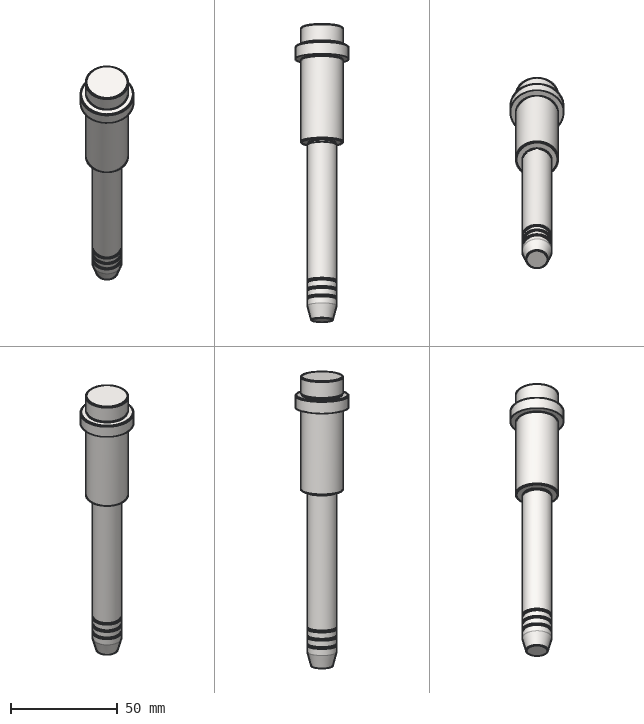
import cadquery as cq

total_height = 140.0
collar_diameter = 25.0
body_diameter = 20.0
pin_diameter = 14.0
tip_diameter = 10.2

collar_height = 6.0
collar_bottom = 125.0
collar_top = collar_bottom + collar_height
body_bottom = 85.0
taper_height = 7.0

edge_chamfer = 0.5
tip_chamfer = 0.3

relief_depth = 0.5
head_relief_width = 1.0
collar_relief_width = 0.7
pin_relief_width = 1.0

ring_count = 3
ring_width = 1.1
ring_depth = 0.5
lowest_ring_center = 10.5
highest_ring_center = 18.5
ring_pitch = (highest_ring_center - lowest_ring_center) / (ring_count - 1)


def cylinder(diameter, bottom, top):
    """Solid cylinder on the Z axis between two levels."""
    return cq.Workplane("XY").workplane(offset=bottom).circle(diameter / 2).extrude(top - bottom)


def groove(diameter, depth, bottom, width, lower_slope=0.0, upper_slope=0.0):
    """Ring that cuts a groove into a cylinder; each wall can slope over a given height."""
    outer = diameter / 2
    floor = outer - depth
    top = bottom + width
    corners = [(outer, bottom), (floor, bottom + lower_slope)]
    if lower_slope + upper_slope < width:
        corners.append((floor, top - upper_slope))
    corners.append((outer, top))
    return cq.Workplane("XZ").polyline(corners).close().revolve(360, (0, 0), (0, 1))


def tapered_tip():
    """Cone that narrows from the pin to the chamfered tip."""
    tip = (
        cq.Workplane("XY")
        .circle(tip_diameter / 2)
        .workplane(offset=taper_height)
        .circle(pin_diameter / 2)
        .loft(ruled=True)
    )
    return tip.faces("<Z").chamfer(tip_chamfer)


body = cylinder(body_diameter, body_bottom, total_height).faces("<Z or >Z").chamfer(edge_chamfer)
collar = cylinder(collar_diameter, collar_bottom, collar_top).faces(">Z").chamfer(edge_chamfer)
pin = cylinder(pin_diameter, taper_height, body_bottom)

body = body.cut(
    groove(body_diameter, relief_depth, collar_top, head_relief_width, upper_slope=relief_depth)
)
collar_relief_bottom = collar_bottom - collar_relief_width
body = body.cut(
    groove(
        body_diameter, relief_depth, collar_relief_bottom, collar_relief_width, lower_slope=relief_depth
    )
)
pin = pin.cut(groove(pin_diameter, relief_depth, body_bottom - pin_relief_width, pin_relief_width))

for index in range(ring_count):
    half_width = ring_width / 2
    ring_bottom = lowest_ring_center + index * ring_pitch - half_width
    pin = pin.cut(
        groove(pin_diameter, ring_depth, ring_bottom, ring_width, half_width, half_width)
    )

result = body.union(collar).union(pin).union(tapered_tip())